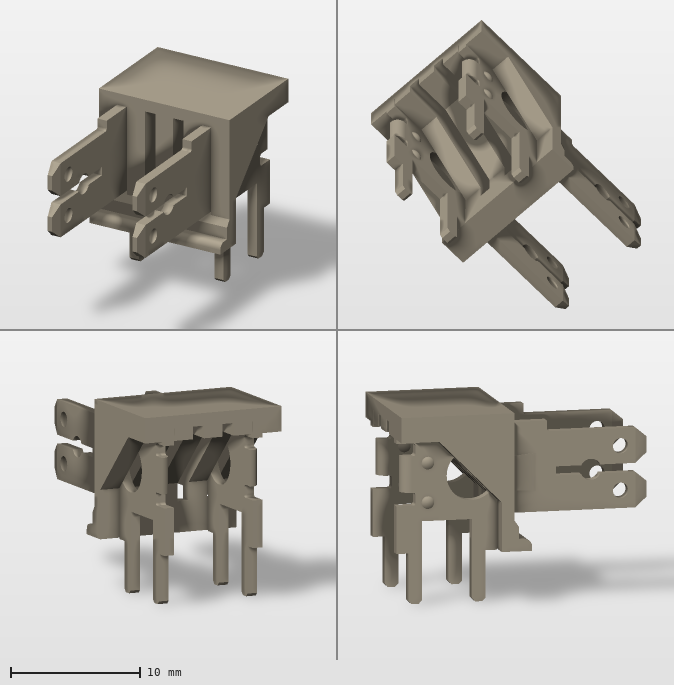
import cadquery as cq


housing_width = 11.74
housing_depth = 9.0
housing_top = 11.0
housing_bottom = 0.1
slab_underside = 9.0
wall_thickness = 1.0
gusset_size = 5.0
lip_top = 2.55
lip_bevel_bottom = 2.0
lip_face = 0.38
rail_reach = 1.4
rail_top = 1.0
rail_radius = 0.5

terminal_thickness = 0.83
terminal_offset = 3.81
axis_height = 6.0
leg_top = 2.5
window_center = (3.0, axis_height)
window_diameter = 4.0
small_radius = 0.2

slot_top = 10.0
terminal_slot_width = 0.89
terminal_slot_offset = terminal_offset + (terminal_thickness - terminal_slot_width) / 2
open_slot_width = 0.95
open_slot_offset = 1.27

blade_half_height = 3.15
blade_end = 11.0
bevel_length = 0.94
shoulder_length = 3.0
split_half_height = 0.355
split_start = 3.74
split_hole_distance = 6.5
split_hole_diameter = 1.67
prong_hole_distance = 8.87
prong_hole_diameter = 1.2
prong_height = blade_half_height - split_half_height
prong_offset = (blade_half_height + split_half_height) / 2
prong_tip_height = 1.24
prong_tip_thickness = 0.4

pin_width = 1.08
pin_length = 4.0
pin_pitch = 5.08
rear_pin_center = 7.52
pin_chamfer = 0.26

notch_top = 8.66
notch_bottom = 3.75
notch_floor = 7.5
tongue_top = 7.65
tongue_bottom = 4.77
tongue_end = 8.6
tongue_radius = 0.8

dimple_radius = 0.5
dimple_height = 0.2
dimple_y = 6.5
dimple_heights = (3.95, 7.06)

barb_start = 0.1
barb_crest = 0.13
barb_end = 2.08
barb_rise = 0.26
barb_start_rise = 0.18
barb_start_half_height = 1.32
barb_end_half_height = 1.5


def centered_plate(sketch, width):
    """Extrude a sketch of the YZ plane symmetrically about X = 0."""
    return sketch.extrude(width / 2, both=True)


def yz_box(y_min, y_max, z_min, z_max, width):
    sketch = cq.Workplane("YZ").moveTo(y_min, z_min).lineTo(y_max, z_min)
    return centered_plate(sketch.lineTo(y_max, z_max).lineTo(y_min, z_max).close(), width)


def make_housing():
    profile = (
        cq.Workplane("YZ")
        .moveTo(0, housing_top)
        .lineTo(housing_depth, housing_top)
        .lineTo(housing_depth, slab_underside)
        .lineTo(wall_thickness + gusset_size, slab_underside)
        .lineTo(wall_thickness, slab_underside - gusset_size)
        .lineTo(wall_thickness, housing_bottom)
        .lineTo(-rail_reach, housing_bottom)
        .lineTo(-rail_reach, rail_top - rail_radius)
        .radiusArc((-rail_reach + rail_radius, rail_top), rail_radius)
        .lineTo(-lip_face, rail_top)
        .lineTo(-lip_face, lip_bevel_bottom)
        .lineTo(0, lip_top)
        .close()
    )
    housing = centered_plate(profile, housing_width)
    slots = ((open_slot_offset, open_slot_width), (terminal_slot_offset, terminal_slot_width))
    for offset, width in slots:
        slot = yz_box(0, housing_depth, lip_top, slot_top, width)
        for side in (-1, 1):
            housing = housing.cut(slot.translate((side * offset, 0, 0)))
    return housing


def make_plate():
    prong_start = bevel_length - blade_end
    blade_bottom = axis_height - blade_half_height
    blade_top = axis_height + blade_half_height
    outline = (
        cq.Workplane("YZ")
        .moveTo(prong_start, blade_bottom)
        .lineTo(wall_thickness, blade_bottom)
        .lineTo(wall_thickness, 0)
        .lineTo(housing_depth, 0)
        .lineTo(housing_depth, slot_top)
        .lineTo(-shoulder_length, slot_top)
        .lineTo(-shoulder_length, blade_top + small_radius)
        .radiusArc((-shoulder_length - small_radius, blade_top), small_radius)
        .lineTo(prong_start, blade_top)
        .close()
    )
    plate = centered_plate(outline, terminal_thickness)
    front_pin_center = rear_pin_center - pin_pitch
    leg_gap = yz_box(
        front_pin_center + pin_width / 2,
        rear_pin_center - pin_width / 2,
        0,
        leg_top,
        terminal_thickness,
    )
    window = centered_plate(
        cq.Workplane("YZ").center(*window_center).circle(window_diameter / 2), terminal_thickness
    )
    return plate.cut(leg_gap).cut(window)


def make_pin(center_y):
    pin = yz_box(
        center_y - pin_width / 2, center_y + pin_width / 2, -pin_length, 0, terminal_thickness
    )
    return pin.faces("<Z").edges("|X").chamfer(pin_chamfer)


def make_prong_tip(center_z):
    """Tapered end of one prong, narrowing in height and thickness."""
    return (
        cq.Workplane("XZ", origin=(0, bevel_length - blade_end, center_z))
        .rect(terminal_thickness, prong_height)
        .workplane(offset=bevel_length)
        .rect(prong_tip_thickness, prong_tip_height)
        .loft(ruled=True)
    )


def cut_blade(terminal):
    """Split the blade into two prongs and drill them."""
    split = yz_box(
        -blade_end,
        -split_start,
        axis_height - split_half_height,
        axis_height + split_half_height,
        terminal_thickness,
    )
    split_hole = (
        cq.Workplane("YZ")
        .center(-split_hole_distance, axis_height)
        .circle(split_hole_diameter / 2)
    )
    prong_holes = (
        cq.Workplane("YZ")
        .pushPoints([(-prong_hole_distance, axis_height + side * prong_offset) for side in (-1, 1)])
        .circle(prong_hole_diameter / 2)
    )
    terminal = terminal.cut(split)
    terminal = terminal.cut(centered_plate(split_hole, terminal_thickness))
    return terminal.cut(centered_plate(prong_holes, terminal_thickness))


def make_rear_notch():
    """Notch with rounded floor corners, leaving the tongue in the middle."""
    notch = yz_box(tongue_end, housing_depth, tongue_bottom, tongue_top, terminal_thickness)
    for z_min, z_max in ((notch_bottom, tongue_bottom), (tongue_top, notch_top)):
        gap = yz_box(notch_floor, housing_depth, z_min, z_max, terminal_thickness)
        gap = gap.faces("<Y").edges("|X").fillet(small_radius)
        notch = notch.union(gap)
    return notch


def round_tongue(terminal):
    """Round the outer vertical edge of the tongue."""
    left = -terminal_thickness / 2
    corner = (
        cq.Workplane("XY", origin=(0, 0, tongue_bottom))
        .moveTo(left, tongue_end)
        .lineTo(left, tongue_end - tongue_radius)
        .radiusArc((left + tongue_radius, tongue_end), tongue_radius)
        .close()
        .extrude(tongue_top - tongue_bottom)
    )
    return terminal.cut(corner)


def make_dimple(center_z):
    """Spherical cap standing on the -X face of the plate."""
    sphere_radius = (dimple_radius**2 + dimple_height**2) / (2 * dimple_height)
    face_x = -terminal_thickness / 2
    half_section = (
        cq.Workplane("XY", origin=(face_x, dimple_y, center_z))
        .lineTo(0, dimple_radius)
        .radiusArc((-dimple_height, 0), -sphere_radius)
        .close()
    )
    return half_section.revolve(360, (0, 0, 0), (1, 0, 0))


def make_barb():
    """Wedge rising toward the housing, slightly wider at its low end."""
    face_x = -terminal_thickness / 2
    wedge = (
        cq.Workplane("XY")
        .moveTo(face_x, -barb_start)
        .lineTo(face_x - barb_start_rise, -barb_start)
        .lineTo(face_x - barb_rise, -barb_crest)
        .lineTo(face_x, -barb_end)
        .close()
        .extrude(barb_end_half_height, both=True)
    )
    side_shape = (
        cq.Workplane("YZ")
        .moveTo(-barb_start, -barb_start_half_height)
        .lineTo(-barb_start, barb_start_half_height)
        .lineTo(-barb_end, barb_end_half_height)
        .lineTo(-barb_end, -barb_end_half_height)
        .close()
    )
    wedge = wedge.intersect(centered_plate(side_shape, 2 * terminal_thickness))
    return wedge.translate((0, 0, axis_height))


def make_terminal():
    terminal = make_plate()
    for side in (-1, 1):
        terminal = terminal.union(make_prong_tip(axis_height + side * prong_offset))
    terminal = cut_blade(terminal)
    terminal = terminal.cut(make_rear_notch())
    terminal = round_tongue(terminal)
    for pin_center in (rear_pin_center - pin_pitch, rear_pin_center):
        terminal = terminal.union(make_pin(pin_center))
    for center_z in dimple_heights:
        terminal = terminal.union(make_dimple(center_z))
    return terminal.union(make_barb())


def make_connector():
    connector = make_housing()
    terminal = make_terminal()
    for side in (-1, 1):
        connector = connector.union(terminal.translate((side * terminal_offset, 0, 0)))
    return connector


result = make_connector()